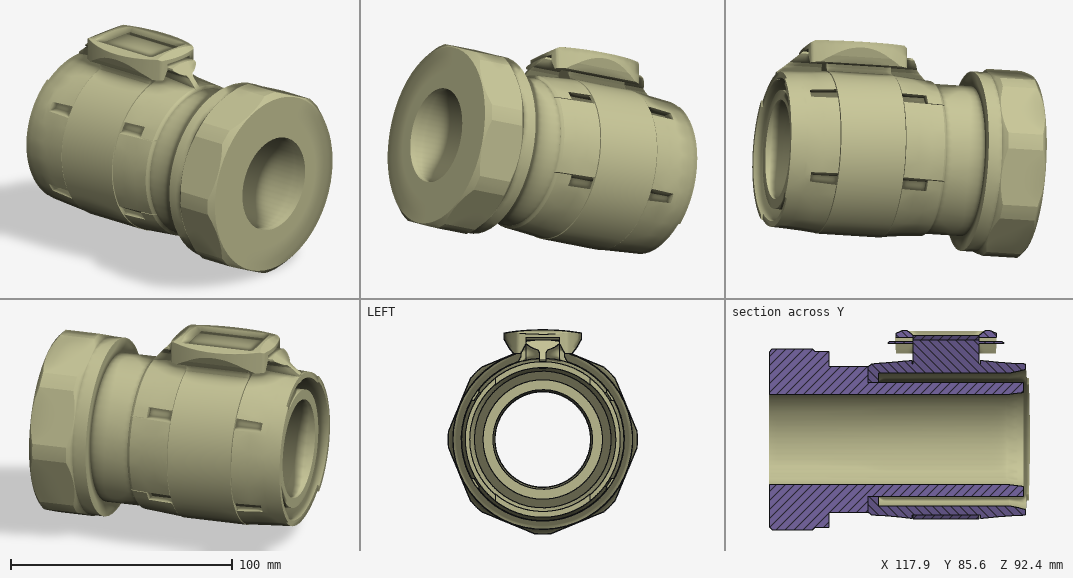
import cadquery as cq
import math


TOTAL_LENGTH = 117.9
TAIL_START = 2.8
TAIL_RADIUS = 27.0
BORE_RADIUS = 21.6
TAIL_MOUTH_RADIUS = 22.5
TAIL_TAPER_END = 10.6
SHANK_RADIUS = 34.0
COLLAR_START = 90.8
COLLAR_RADIUS = 40.7
OCTAGON_START = 97.0
OCTAGON_RADIUS = 42.8
OCTAGON_APOTHEM = 40.8
OCTAGON_CHAMFER = 2.4
OCTAGON_SIDES = 8

SLEEVE_END = 73.1
SLEEVE_MOUTH_RADIUS = 35.0
SLEEVE_RADIUS = 36.7
SLEEVE_TIP_RADIUS = 35.1
SLEEVE_TIP_CHAMFER = 1.4
SLEEVE_BORE_RADIUS = 30.9
SLEEVE_END_WALL = 4.7
MOUTH_RADIUS = 33.0
MOUTH_INNER_RADIUS = 31.7
MOUTH_DEPTH = 5.3
MOUTH_TAPER_LENGTH = 4.1
SIDE_END_SETBACK = 1.0
TOP_END_SETBACK = 2.0
TOP_STEP_SETBACK = 1.4
STEP_HALF_WIDTH = 21.5
END_CUT_OVERRUN = 1.2

NOTCH_FLOOR_RADIUS = 31.8
NOTCH_TOP = 22.3
NOTCH_FRONT_TOP = 21.3
NOTCH_Z = 17.6
NOTCH_FRONT = 10.3
NOTCH_BACK = 65.0
SLIT_WIDTH = 0.4

NECK_HALF_WIDTH = 1.4
NECK_TOP = 39.0
NECK_FLARE = (2.1, 40.4)
HEAD_FLARE = (5.0, 41.5)
HEAD_HALF_WIDTH = 7.7
HEAD_EDGE_BOTTOM = 43.4
HEAD_EDGE_TOP = 44.3
RAIL_TOP = 45.0
RAIL_CROWN_DROP = 0.18
RAIL_ROOT = 32.1
RAIL_FRONT = 2.1
RAIL_FRONT_Z = 36.0
RAIL_FRONT_TOP = 13.5
RAIL_BACK_Z = 33.8
RAIL_BACK_TOP = 63.1

BAND_CENTER = 38.0
BAND_WIDTH = 30.1
BAND_RADIUS = 36.9
BAND_THICKNESS = 1.8
BAND_GAP = 0.4
EAR_HALF_WIDTH = 9.9
EAR_FOOT_HALF_WIDTH = 11.1
EAR_FOOT_BOTTOM = 35.1
EAR_FOOT_TOP = 37.4
EAR_FLAT_HALF_WIDTH = 6.7
EAR_TOP = 47.2

BUCKLE_HALF_LENGTH = 23.5
BUCKLE_CORNER_X = 22.3
BUCKLE_CORNER_Y = 11.2
BUCKLE_HALF_WIDTH = 17.6
BUCKLE_CORNER_FILLET = 2.1
BUCKLE_BOTTOM = 38.8
BUCKLE_TOP = 49.6
BUCKLE_SIDE_TOP = 48.1
BUCKLE_SLOPE_START = 19.1
BUCKLE_SLOPE_DROP = 1.9
RIM_FILLET = 0.4
RIM_LOW_Z = 47.7
RIM_HIGH_Z = 49.0
UNDERCUT_TOP_Z = 45.4
UNDERCUT_CREASE_Y = 15.3
UNDERCUT_CREASE_Z = 41.5
UNDERCUT_BOTTOM_Y = 13.2
WINDOW_LENGTH = 36.1
WINDOW_WIDTH = 26.2
WINDOW_CORNER_RADIUS = 2.4
WELL_CORNER_RADIUS = 0.2
WINDOW_BEVEL_BOTTOM = 47.3
TUNNEL_TOP = 46.0
TUNNEL_KNEE_Z = 43.2
TUNNEL_FOOT_HALF_WIDTH = EAR_HALF_WIDTH

SHANK_START = SLEEVE_END
BAND_START = BAND_CENTER - BAND_WIDTH / 2
BAND_END = BAND_CENTER + BAND_WIDTH / 2
GROOVE_START = BAND_START - BAND_GAP
GROOVE_END = BAND_END + BAND_GAP
GROOVE_RADIUS = BAND_RADIUS - BAND_THICKNESS
CLEAR = 59.0


def turned(points):
    """Solid of revolution about X from (x, radius) points."""
    return cq.Workplane("XY").polyline(points).close().revolve(360, (0, 0, 0), (1, 0, 0))


def cylinder(radius, start, end):
    return cq.Workplane("YZ", origin=(start, 0, 0)).circle(radius).extrude(end - start)


def box(x_range, y_range, z_range):
    sizes = [high - low for low, high in (x_range, y_range, z_range)]
    corner = (x_range[0], y_range[0], z_range[0])
    return cq.Workplane("XY", origin=corner).box(*sizes, centered=False)


def octagon():
    """Octagon whose corners are turned round and whose ends are chamfered."""
    length = TOTAL_LENGTH - OCTAGON_START
    corner_diameter = 2 * OCTAGON_APOTHEM / math.cos(math.pi / OCTAGON_SIDES)
    sides = cq.Workplane("YZ", origin=(OCTAGON_START, 0, 0)).polygon(OCTAGON_SIDES, corner_diameter)
    turned_blank = cylinder(OCTAGON_RADIUS, OCTAGON_START, TOTAL_LENGTH).edges().chamfer(OCTAGON_CHAMFER)
    return sides.extrude(length).intersect(turned_blank)


def make_fitting():
    body = turned([
        (TAIL_START, 0),
        (TAIL_START, TAIL_RADIUS),
        (SHANK_START, TAIL_RADIUS),
        (SHANK_START, SHANK_RADIUS),
        (COLLAR_START, SHANK_RADIUS),
        (COLLAR_START, COLLAR_RADIUS),
        (OCTAGON_START, COLLAR_RADIUS),
        (OCTAGON_START, 0),
    ]).union(octagon())
    body = body.cut(cylinder(BORE_RADIUS, TAIL_START, TOTAL_LENGTH))
    tail_taper = turned([
        (TAIL_START, 0),
        (TAIL_START, TAIL_MOUTH_RADIUS),
        (TAIL_TAPER_END, BORE_RADIUS),
        (TAIL_TAPER_END, 0),
    ])
    return body.cut(tail_taper)


def sleeve_shell():
    wall_start = SLEEVE_END - SLEEVE_END_WALL
    return turned([
        (0, SLEEVE_MOUTH_RADIUS),
        (GROOVE_START, SLEEVE_RADIUS),
        (GROOVE_START, GROOVE_RADIUS),
        (GROOVE_END, GROOVE_RADIUS),
        (GROOVE_END, SLEEVE_RADIUS),
        (SLEEVE_END - SLEEVE_TIP_CHAMFER, SLEEVE_TIP_RADIUS),
        (SLEEVE_END, SHANK_RADIUS),
        (SLEEVE_END, TAIL_RADIUS),
        (wall_start, TAIL_RADIUS),
        (wall_start, SLEEVE_BORE_RADIUS),
        (MOUTH_DEPTH + MOUTH_TAPER_LENGTH, SLEEVE_BORE_RADIUS),
        (MOUTH_DEPTH, MOUTH_INNER_RADIUS),
        (0, MOUTH_RADIUS),
    ])


def end_curve_cutter():
    """Hollows the hose end: the sides bow outward and the top and bottom step back."""
    reach = SLEEVE_RADIUS
    sides = (
        cq.Workplane("XZ", origin=(0, CLEAR, 0))
        .moveTo(SIDE_END_SETBACK, -reach)
        .threePointArc((0, 0), (SIDE_END_SETBACK, reach))
        .lineTo(-END_CUT_OVERRUN, reach)
        .lineTo(-END_CUT_OVERRUN, -reach)
        .close()
        .extrude(2 * CLEAR)
    )
    top_and_bottom = (
        cq.Workplane("XY", origin=(0, 0, -CLEAR))
        .moveTo(TOP_STEP_SETBACK, -STEP_HALF_WIDTH)
        .threePointArc((TOP_END_SETBACK, 0), (TOP_STEP_SETBACK, STEP_HALF_WIDTH))
        .lineTo(-END_CUT_OVERRUN, STEP_HALF_WIDTH)
        .lineTo(-END_CUT_OVERRUN, -STEP_HALF_WIDTH)
        .close()
        .extrude(2 * CLEAR)
    )
    return sides.union(top_and_bottom)


def notch_cutter():
    """One quadrant: a notch on each side of the band and a slit on to the shank end."""
    outline = (
        cq.Workplane("XZ")
        .polyline([
            (NOTCH_FRONT, NOTCH_Z),
            (NOTCH_FRONT, NOTCH_FRONT_TOP),
            (GROOVE_START, NOTCH_TOP),
            (NOTCH_BACK, NOTCH_TOP),
            (NOTCH_BACK, NOTCH_Z + SLIT_WIDTH),
            (SLEEVE_END, NOTCH_Z + SLIT_WIDTH),
            (SLEEVE_END, NOTCH_Z),
        ])
        .close()
        .extrude(CLEAR)
    )
    return outline.cut(cylinder(NOTCH_FLOOR_RADIUS, 0, SLEEVE_END))


def rail():
    """Mushroom rail with sloping ends, thickened to a block where the band's ear covers it."""
    right_half = (
        cq.Workplane("YZ")
        .moveTo(0, RAIL_ROOT)
        .lineTo(NECK_HALF_WIDTH, RAIL_ROOT)
        .lineTo(NECK_HALF_WIDTH, NECK_TOP)
        .lineTo(*NECK_FLARE)
        .threePointArc(HEAD_FLARE, (HEAD_HALF_WIDTH, HEAD_EDGE_BOTTOM))
        .lineTo(HEAD_HALF_WIDTH, HEAD_EDGE_TOP)
        .threePointArc((HEAD_HALF_WIDTH / 2, RAIL_TOP - RAIL_CROWN_DROP), (0, RAIL_TOP))
        .close()
        .extrude(SLEEVE_END)
    )
    bar = right_half.union(right_half.mirror("XZ"))
    block = box((BAND_START, BAND_END), (-HEAD_HALF_WIDTH, HEAD_HALF_WIDTH), (RAIL_ROOT, RAIL_TOP))
    side_outline = (
        cq.Workplane("XZ", origin=(0, CLEAR, 0))
        .polyline([
            (RAIL_FRONT, RAIL_ROOT),
            (RAIL_FRONT, RAIL_FRONT_Z),
            (RAIL_FRONT_TOP, RAIL_TOP),
            (RAIL_BACK_TOP, RAIL_TOP),
            (SLEEVE_END, RAIL_BACK_Z),
            (SLEEVE_END, RAIL_ROOT),
        ])
        .close()
        .extrude(2 * CLEAR)
    )
    return bar.union(block).intersect(side_outline)


def make_sleeve():
    body = sleeve_shell().cut(end_curve_cutter())
    cutter = notch_cutter()
    for quadrant in (cutter, cutter.mirror("XZ")):
        body = body.cut(quadrant).cut(quadrant.mirror("XY"))
    return body.union(rail())


def ear():
    """Solid blank of the ear, with a splayed foot and rounded shoulders."""
    shoulder_radius = EAR_HALF_WIDTH - EAR_FLAT_HALF_WIDTH
    right_half = (
        cq.Workplane("YZ", origin=(BAND_START, 0, 0))
        .lineTo(EAR_FOOT_HALF_WIDTH, 0)
        .lineTo(EAR_FOOT_HALF_WIDTH, EAR_FOOT_BOTTOM)
        .lineTo(EAR_HALF_WIDTH, EAR_FOOT_TOP)
        .lineTo(EAR_HALF_WIDTH, EAR_TOP - shoulder_radius)
        .radiusArc((EAR_FLAT_HALF_WIDTH, EAR_TOP), -shoulder_radius)
        .lineTo(0, EAR_TOP)
        .close()
        .extrude(BAND_WIDTH)
    )
    return right_half.union(right_half.mirror("XZ"))


def make_band():
    ring = cylinder(BAND_RADIUS, BAND_START, BAND_END).union(ear())
    ring = ring.cut(cylinder(GROOVE_RADIUS, BAND_START, BAND_END))
    rail_space = box((BAND_START, BAND_END), (-HEAD_HALF_WIDTH, HEAD_HALF_WIDTH), (0, RAIL_TOP))
    return ring.cut(rail_space)


def buckle_plan():
    """Bulged oblong plan, extruded to full height."""
    x, y = BUCKLE_CORNER_X, BUCKLE_CORNER_Y
    return (
        cq.Workplane("XY", origin=(BAND_CENTER, 0, BUCKLE_BOTTOM))
        .moveTo(-x, -y)
        .threePointArc((0, -BUCKLE_HALF_WIDTH), (x, -y))
        .threePointArc((BUCKLE_HALF_LENGTH, 0), (x, y))
        .threePointArc((0, BUCKLE_HALF_WIDTH), (-x, y))
        .threePointArc((-BUCKLE_HALF_LENGTH, 0), (-x, -y))
        .close()
        .extrude(BUCKLE_TOP - BUCKLE_BOTTOM)
        .edges("|Z")
        .fillet(BUCKLE_CORNER_FILLET)
    )


def buckle_cross_section():
    """Crowned top and undercut sides, along X."""
    w = BUCKLE_HALF_WIDTH
    return (
        cq.Workplane("YZ")
        .moveTo(-UNDERCUT_BOTTOM_Y, BUCKLE_BOTTOM)
        .lineTo(-UNDERCUT_CREASE_Y, UNDERCUT_CREASE_Z)
        .lineTo(-w, UNDERCUT_TOP_Z)
        .lineTo(-w, BUCKLE_SIDE_TOP)
        .threePointArc((0, BUCKLE_TOP), (w, BUCKLE_SIDE_TOP))
        .lineTo(w, UNDERCUT_TOP_Z)
        .lineTo(UNDERCUT_CREASE_Y, UNDERCUT_CREASE_Z)
        .lineTo(UNDERCUT_BOTTOM_Y, BUCKLE_BOTTOM)
        .close()
        .extrude(TOTAL_LENGTH)
    )


def buckle_side_outline():
    """Sloping ends of the top, along Y."""
    end_z = BUCKLE_TOP - BUCKLE_SLOPE_DROP
    return (
        cq.Workplane("XZ", origin=(BAND_CENTER, CLEAR, 0))
        .polyline([
            (-BUCKLE_HALF_LENGTH, BUCKLE_BOTTOM),
            (-BUCKLE_HALF_LENGTH, end_z),
            (-BUCKLE_SLOPE_START, BUCKLE_TOP),
            (BUCKLE_SLOPE_START, BUCKLE_TOP),
            (BUCKLE_HALF_LENGTH, end_z),
            (BUCKLE_HALF_LENGTH, BUCKLE_BOTTOM),
        ])
        .close()
        .extrude(2 * CLEAR)
    )


def window_cutter():
    """Straight well that holds the ear, opening to a bevelled window."""
    well = box((BAND_START, BAND_END), (-EAR_HALF_WIDTH, EAR_HALF_WIDTH), (BUCKLE_BOTTOM, BUCKLE_TOP))
    bevel_height = BUCKLE_TOP - WINDOW_BEVEL_BOTTOM
    small = cq.Sketch().rect(BAND_WIDTH, 2 * EAR_HALF_WIDTH).vertices().fillet(WELL_CORNER_RADIUS)
    large = cq.Sketch().rect(WINDOW_LENGTH, WINDOW_WIDTH).vertices().fillet(WINDOW_CORNER_RADIUS)
    bevel = (
        cq.Workplane("XY", origin=(BAND_CENTER, 0, WINDOW_BEVEL_BOTTOM))
        .placeSketch(small, large.moved(cq.Location(cq.Vector(0, 0, bevel_height))))
        .loft()
    )
    return well.union(bevel)


def tunnel_cutter():
    """Passage for the rail through both end walls, with a flared foot."""
    return (
        cq.Workplane("YZ")
        .polyline([
            (-TUNNEL_FOOT_HALF_WIDTH, BUCKLE_BOTTOM),
            (-HEAD_HALF_WIDTH, TUNNEL_KNEE_Z),
            (-HEAD_HALF_WIDTH, TUNNEL_TOP),
            (HEAD_HALF_WIDTH, TUNNEL_TOP),
            (HEAD_HALF_WIDTH, TUNNEL_KNEE_Z),
            (TUNNEL_FOOT_HALF_WIDTH, BUCKLE_BOTTOM),
        ])
        .close()
        .extrude(TOTAL_LENGTH)
    )


def make_buckle():
    body = buckle_plan().intersect(buckle_cross_section()).intersect(buckle_side_outline())
    rim = body.edges().filter(lambda edge: RIM_LOW_Z < edge.Center().z < RIM_HIGH_Z)
    body = rim.fillet(RIM_FILLET)
    return body.cut(window_cutter()).cut(tunnel_cutter())


fitting = make_fitting()
sleeve = make_sleeve()
band = make_band()
buckle = make_buckle()

result = cq.Compound.makeCompound([fitting.val(), sleeve.val(), band.val(), buckle.val()])